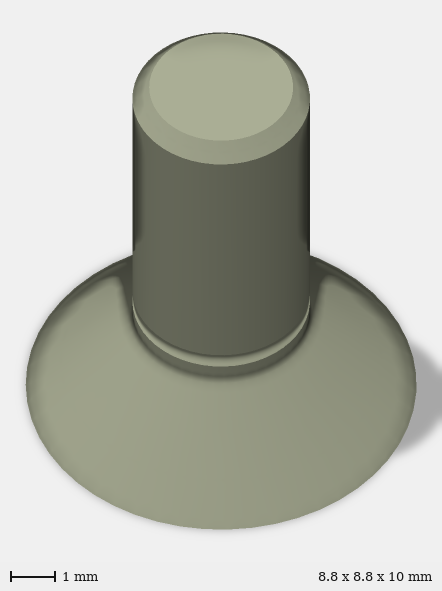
import cadquery as cq
import math

length = 10.0
head_radius = 4.4
shank_radius = 2.0
root_radius = 1.62

thread_start = 3.2
tip_chamfer = shank_radius - root_radius
neck_top = thread_start - tip_chamfer

fillet_radius = 0.2
cone_angle = math.radians(45)
fillet_center_r = shank_radius + fillet_radius
fillet_end_r = fillet_center_r - fillet_radius * math.cos(cone_angle)
fillet_end_z = head_radius - fillet_end_r
fillet_top_z = fillet_end_z + fillet_radius * math.sin(cone_angle)
fillet_mid_r = fillet_center_r - fillet_radius * math.cos(cone_angle / 2)
fillet_mid_z = fillet_top_z - fillet_radius * math.sin(cone_angle / 2)

profile = (
    cq.Workplane("XZ")
    .lineTo(head_radius, 0)
    .lineTo(fillet_end_r, fillet_end_z)
    .threePointArc((fillet_mid_r, fillet_mid_z), (shank_radius, fillet_top_z))
    .lineTo(shank_radius, neck_top)
    .lineTo(root_radius, thread_start)
    .lineTo(shank_radius, thread_start)
    .lineTo(shank_radius, length - tip_chamfer)
    .lineTo(root_radius, length)
    .lineTo(0, length)
    .close()
)

result = profile.revolve(360, (0, 0, 0), (0, 1, 0))